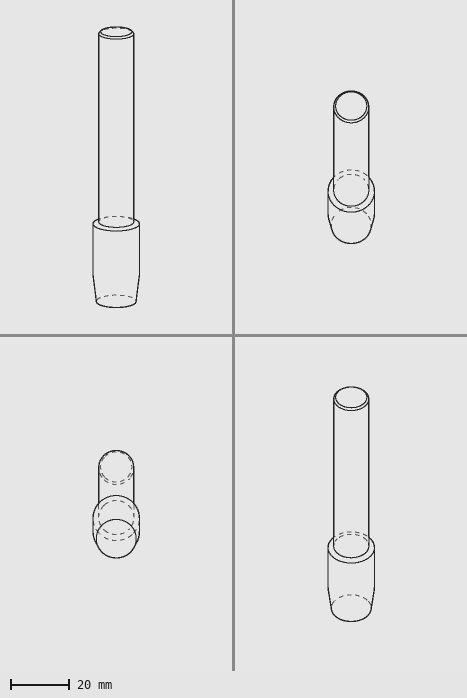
import cadquery as cq

total_length = 96.8
tip_length = 9.3
head_rim_height = 27.9
shoulder_height = 0.7

head_diameter = 15.9
tip_diameter = 13.65
shank_diameter = 12.0
shank_chamfer = 0.7

head_radius = head_diameter / 2
tip_radius = tip_diameter / 2
shank_radius = shank_diameter / 2
head_height = head_rim_height + shoulder_height


def make_head():
    """Revolved head: tapered tip, full-diameter cylinder and conical shoulder."""
    return (
        cq.Workplane("XZ")
        .polyline([
            (0, 0),
            (tip_radius, 0),
            (head_radius, tip_length),
            (head_radius, head_rim_height),
            (shank_radius, head_height),
            (0, head_height),
        ])
        .close()
        .revolve(360, (0, 0, 0), (0, 1, 0))
    )


def make_shank():
    """Plain round shank standing on the head, chamfered at its free end."""
    return (
        cq.Workplane("XY")
        .workplane(offset=head_height)
        .circle(shank_radius)
        .extrude(total_length - head_height)
        .faces(">Z")
        .chamfer(shank_chamfer)
    )


head = make_head()
shank = make_shank()

result = cq.Compound.makeCompound([head.val(), shank.val()])